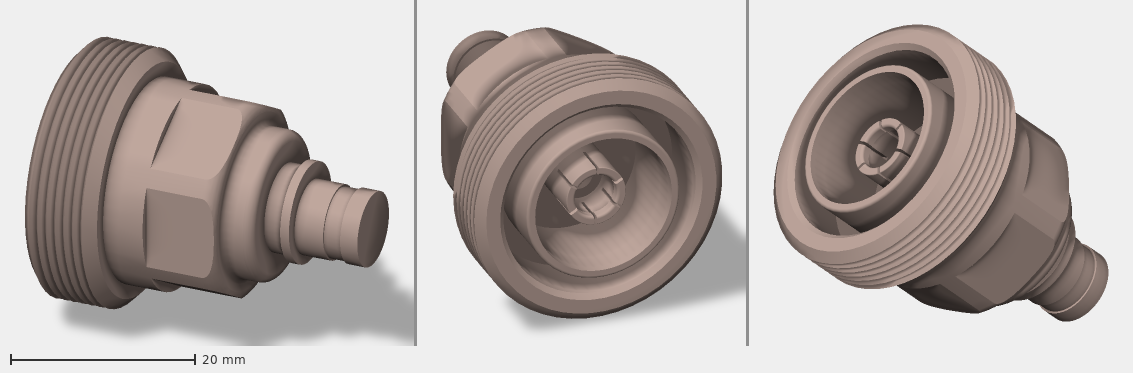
import cadquery as cq
import math

TOTAL_LENGTH = 36.1
RING_FRONT = 0.65
RING_BACK = 9.1
FLATS_START = 13.8
HEX_END = 21.88
SHOULDER_END = 25.38
COLLAR_START = 27.58
COLLAR_END = 28.63
TAIL_GROOVE_START = 32.02
TAIL_GROOVE_END = 34.05

THREAD_RADIUS = 29.0 / 2
THREAD_ROOT_RADIUS = 13.68
THREAD_GROOVES = 6
FIRST_CREST = 1.6
LAST_CREST = 7.85
THREAD_PITCH = (LAST_CREST - FIRST_CREST) / THREAD_GROOVES
RING_FRONT_RADIUS = 13.43
RING_BACK_RADIUS = 13.15

BODY_RADIUS = 11.5
HEX_ACROSS_FLATS = 20.95
HEX_END_FILLET = 1.5
SHOULDER_RADIUS = 8.5
SHOULDER_ROOT_FILLET = 0.6
SHOULDER_END_FILLET = 1.05
NECK_RADIUS = 5.0
COLLAR_RADIUS = 5.75

TAIL_RADIUS = 8.5 / 2
TAIL_GROOVE_RADIUS = 4.0
TAIL_DROP = 0.47

SOCKET_RADIUS = 11.23
SOCKET_CHAMFER = 0.58
SOCKET_FLOOR = 8.2
SLEEVE_RADIUS = 8.9
SLEEVE_TIP_FILLET = 0.32
SLEEVE_BORE_RADIUS = 7.98
SLEEVE_BORE_FLOOR = 10.83

CONTACT_TIP = 2.13
CONTACT_RADIUS = 3.45
CONTACT_TIP_FILLET = 0.1
CONTACT_BORE_RADIUS = 4.95 / 2
CONTACT_BORE_FILLET = 0.32
CONTACT_LIP_DEPTH = 1.12
CONTACT_RELIEF_RADIUS = 2.65
CONTACT_BORE_DEPTH = 5.05
DRILL_POINT_RADIUS = 3.07 / 2
DRILL_POINT_ANGLE = 118.0
SLOT_COUNT = 6
SLOT_WIDTH = 0.343
SLOT_OFFSET = 0.1
SLOT_DEPTH = 3.97

DIAGONAL = math.sqrt(0.5)


def revolve_about_x(profile):
    """Turn a closed (x, radius) profile about the X axis."""
    return profile.close().revolve(360, (0, 0, 0), (1, 0, 0))


def cylinder(start, end, radius):
    """Cylinder on the X axis between two stations."""
    return cq.Workplane("YZ", origin=(start, 0, 0)).circle(radius).extrude(end - start)


def make_body():
    """Threaded ring, body, rear shoulder, neck and collar as one turned solid."""
    profile = (
        cq.Workplane("XY")
        .moveTo(RING_FRONT, 0)
        .lineTo(RING_FRONT, RING_FRONT_RADIUS)
        .lineTo(FIRST_CREST, THREAD_RADIUS)
    )
    for groove in range(THREAD_GROOVES):
        crest = FIRST_CREST + groove * THREAD_PITCH
        profile = profile.lineTo(crest + THREAD_PITCH / 2, THREAD_ROOT_RADIUS)
        profile = profile.lineTo(crest + THREAD_PITCH, THREAD_RADIUS)

    hex_x = HEX_END - HEX_END_FILLET
    hex_r = BODY_RADIUS - HEX_END_FILLET
    root_x = HEX_END + SHOULDER_ROOT_FILLET
    root_r = SHOULDER_RADIUS + SHOULDER_ROOT_FILLET
    end_x = SHOULDER_END - SHOULDER_END_FILLET
    end_r = SHOULDER_RADIUS - SHOULDER_END_FILLET
    hex_mid = HEX_END_FILLET * DIAGONAL
    root_mid = SHOULDER_ROOT_FILLET * DIAGONAL
    end_mid = SHOULDER_END_FILLET * DIAGONAL
    profile = (
        profile.lineTo(RING_BACK, RING_BACK_RADIUS)
        .lineTo(RING_BACK, BODY_RADIUS)
        .lineTo(hex_x, BODY_RADIUS)
        .threePointArc((hex_x + hex_mid, hex_r + hex_mid), (HEX_END, hex_r))
        .lineTo(HEX_END, root_r)
        .threePointArc((root_x - root_mid, root_r - root_mid), (root_x, SHOULDER_RADIUS))
        .lineTo(end_x, SHOULDER_RADIUS)
        .threePointArc((end_x + end_mid, end_r + end_mid), (SHOULDER_END, end_r))
        .lineTo(SHOULDER_END, NECK_RADIUS)
        .lineTo(COLLAR_START, NECK_RADIUS)
        .lineTo(COLLAR_START, COLLAR_RADIUS)
        .lineTo(COLLAR_END, COLLAR_RADIUS)
        .lineTo(COLLAR_END, 0)
    )
    return revolve_about_x(profile)


def cut_flats(body):
    """Six wrench flats, the first pair facing -Y and +Y."""
    length = HEX_END - FLATS_START
    corner_diameter = HEX_ACROSS_FLATS / math.cos(math.pi / 6)
    hexagon = (
        cq.Workplane("YZ", origin=(FLATS_START, 0, 0))
        .transformed(rotate=(0, 0, 30))
        .polygon(6, corner_diameter)
        .extrude(length)
    )
    waste = cylinder(FLATS_START, HEX_END, THREAD_RADIUS).cut(hexagon)
    return body.cut(waste)


def cut_socket(body):
    """Front opening with a chamfered mouth."""
    profile = (
        cq.Workplane("XY")
        .moveTo(RING_FRONT, 0)
        .lineTo(RING_FRONT, SOCKET_RADIUS + SOCKET_CHAMFER)
        .lineTo(RING_FRONT + SOCKET_CHAMFER, SOCKET_RADIUS)
        .lineTo(SOCKET_FLOOR, SOCKET_RADIUS)
        .lineTo(SOCKET_FLOOR, 0)
    )
    return body.cut(revolve_about_x(profile))


def make_sleeve():
    """Inner sleeve blank standing on the socket floor, rounded at the outer tip."""
    return (
        cylinder(0, SOCKET_FLOOR, SLEEVE_RADIUS)
        .faces("<X")
        .edges()
        .fillet(SLEEVE_TIP_FILLET)
    )


def make_contact():
    """Slotted centre contact with a rounded lip and wider bore, plus the drill point to cut below it."""
    bore_floor = CONTACT_TIP + CONTACT_BORE_DEPTH
    contact = (
        cylinder(CONTACT_TIP, SLEEVE_BORE_FLOOR, CONTACT_RADIUS)
        .faces("<X")
        .edges()
        .fillet(CONTACT_TIP_FILLET)
        .cut(cylinder(CONTACT_TIP, bore_floor, CONTACT_BORE_RADIUS))
        .faces("<X")
        .edges(cq.selectors.RadiusNthSelector(0))
        .fillet(CONTACT_BORE_FILLET)
        .cut(cylinder(CONTACT_TIP + CONTACT_LIP_DEPTH, bore_floor, CONTACT_RELIEF_RADIUS))
    )
    point_depth = DRILL_POINT_RADIUS / math.tan(math.radians(DRILL_POINT_ANGLE / 2))
    drill_point = revolve_about_x(
        cq.Workplane("XY")
        .moveTo(bore_floor, 0)
        .lineTo(bore_floor, DRILL_POINT_RADIUS)
        .lineTo(bore_floor + point_depth, 0)
    )
    slot = (
        cq.Workplane("XY")
        .box(SLOT_DEPTH, SLOT_WIDTH, CONTACT_RADIUS, centered=(False, True, False))
        .translate((CONTACT_TIP, -SLOT_OFFSET, CONTACT_BORE_RADIUS / 2))
    )
    for index in range(SLOT_COUNT):
        angle = index * 360 / SLOT_COUNT
        contact = contact.cut(slot.rotate((0, 0, 0), (1, 0, 0), angle))
    return contact, drill_point


def make_tail():
    """Offset tail with a shallow groove near its end."""
    tail = (
        cylinder(COLLAR_END, TAIL_GROOVE_START, TAIL_RADIUS)
        .union(cylinder(TAIL_GROOVE_START, TAIL_GROOVE_END, TAIL_GROOVE_RADIUS))
        .union(cylinder(TAIL_GROOVE_END, TOTAL_LENGTH, TAIL_RADIUS))
    )
    return tail.translate((0, 0, -TAIL_DROP))


contact, drill_point = make_contact()
result = (
    cut_socket(cut_flats(make_body()))
    .union(make_sleeve())
    .cut(cylinder(0, SLEEVE_BORE_FLOOR, SLEEVE_BORE_RADIUS))
    .union(contact)
    .cut(drill_point)
    .union(make_tail())
)